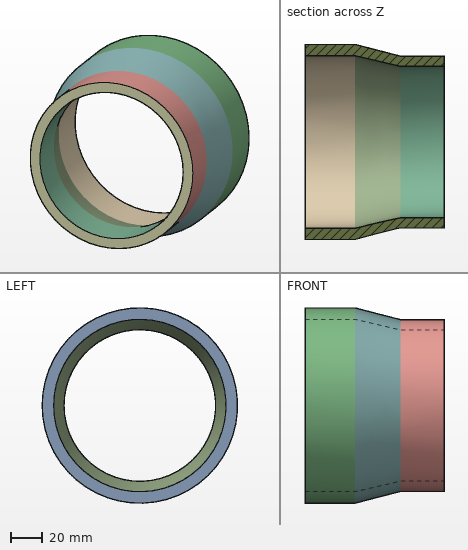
import cadquery as cq

wide_outer_diameter = 125.0
wide_wall = 7.4
narrow_outer_diameter = 110.0
narrow_wall = 6.6

wide_length = 32.0
taper_length = 29.0
narrow_length = 28.0

taper_start = wide_length
taper_end = taper_start + taper_length
total_length = taper_end + narrow_length


def reducer_body(wide_radius, narrow_radius):
    """Solid of revolution: wide cylinder, cone, then narrow cylinder."""
    profile = cq.Workplane("XY").polyline([
        (0, 0),
        (0, wide_radius),
        (taper_start, wide_radius),
        (taper_end, narrow_radius),
        (total_length, narrow_radius),
        (total_length, 0),
    ]).close()
    return profile.revolve(360, (0, 0, 0), (1, 0, 0))


wide_outer_radius = wide_outer_diameter / 2
narrow_outer_radius = narrow_outer_diameter / 2

outside = reducer_body(wide_outer_radius, narrow_outer_radius)
bore = reducer_body(wide_outer_radius - wide_wall, narrow_outer_radius - narrow_wall)

result = outside.cut(bore)